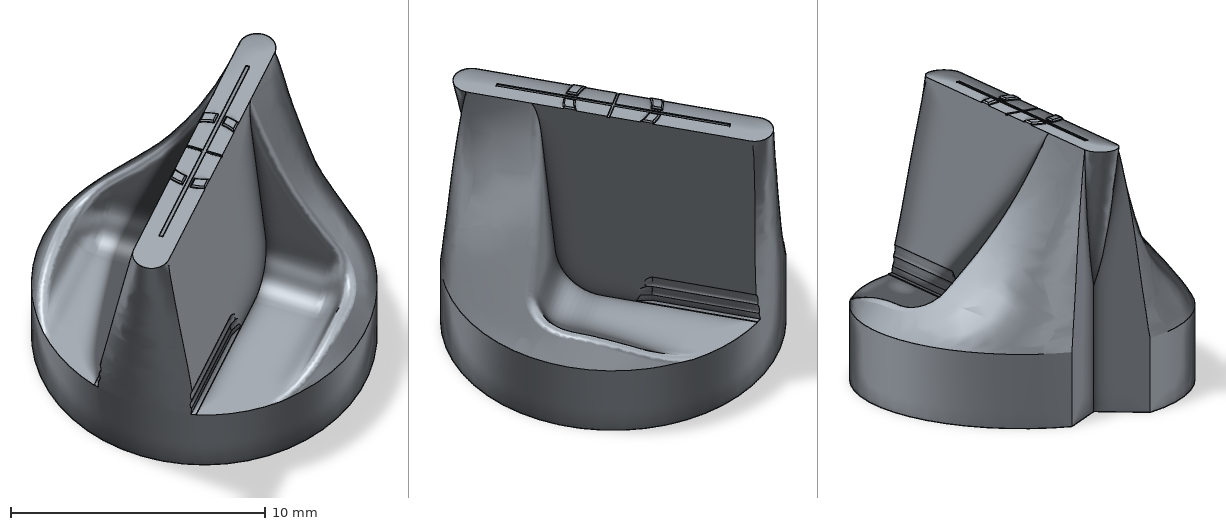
import cadquery as cq
import math


base_radius = 6.8
base_height = 3.05
crest_height = 11.0
crest_half_width = 0.74
crest_half_length = 6.5
grip_stations = [
    (4.15, 5.95, 4.8),
    (5.3, 4.86, 3.5),
    (7.0, 3.26, 2.4),
    (9.0, 1.82, 1.4),
    (10.2, 1.15, 0.97),
]
circle_joint_angle = 60.0

fin_half_width = 2.15
floor_drop = 0.06
pocket_floor = base_height - floor_drop
pocket_half_width = 5.65
pocket_side_fillet = 1.1
pocket_back_y = 1.6
pocket_back_angle = 9.0
pocket_back_fillet = 2.0
rim_fillet = 0.33

recess_half_width = 1.96
recess_step = 0.03
recess_floor = pocket_floor + recess_step
recess_levels = [3.3, 3.73, 4.2]
recess_back_y = -1.5
recess_front_y = -2.1
cove_sag = 0.06

notch_half_width = 1.82
notch_slope = 0.7
nose_lean = 0.21

mark_depth = 0.05
long_mark_half_length = 4.75
long_mark_width = 0.15
cross_mark_width = 0.1
ring_outer_radius = 1.97
ring_inner_radius = 1.5
ring_gap_half_width = 0.16
ring_height = 0.1
ring_chamfer = 0.06

margin = 1.0
reach = base_radius + margin
tool_top = crest_height + margin


def grip_half_length(height):
    rise = (height - base_height) / (crest_height - base_height)
    return base_radius + (crest_half_length - base_radius) * rise


def oval_section(height, half_width, end_radius):
    """Oval of two end arcs and two tangent sides, centred on the knob axis."""
    half_length = grip_half_length(height)
    end_center = half_length - end_radius
    if end_center == 0:
        tilt = math.radians(circle_joint_angle)
        joint_x = end_radius * math.cos(tilt)
        joint_y = end_radius * math.sin(tilt)
    elif half_width == end_radius:
        joint_x = half_width
        joint_y = end_center
    else:
        side_radius = (half_width**2 + end_center**2 - end_radius**2) / (2 * (half_width - end_radius))
        tilt = math.atan2(end_center, side_radius - half_width)
        joint_x = end_radius * math.cos(tilt)
        joint_y = end_center + end_radius * math.sin(tilt)

    outline = cq.Workplane("XY", origin=(0, 0, height)).moveTo(joint_x, -joint_y)
    if half_width == joint_x:
        outline = outline.lineTo(joint_x, joint_y)
    else:
        outline = outline.threePointArc((half_width, 0), (joint_x, joint_y))
    outline = outline.threePointArc((0, half_length), (-joint_x, joint_y))
    if half_width == joint_x:
        outline = outline.lineTo(-joint_x, -joint_y)
    else:
        outline = outline.threePointArc((-half_width, 0), (-joint_x, -joint_y))
    outline = outline.threePointArc((0, -half_length), (joint_x, -joint_y)).close()
    return outline.val()


def make_body():
    stations = [(base_height, base_radius, base_radius)]
    stations += grip_stations
    stations += [(crest_height, crest_half_width, crest_half_width)]
    grip = cq.Workplane(cq.Solid.makeLoft([oval_section(*station) for station in stations]))
    base = cq.Workplane("XY").circle(base_radius).extrude(base_height)
    return base.union(grip)


def make_notch():
    mouth_y = math.sqrt(base_radius**2 - notch_half_width**2)
    apex_y = mouth_y - notch_slope * notch_half_width
    mouth_half_width = (reach - apex_y) / notch_slope
    outline = [(0, apex_y), (mouth_half_width, reach), (-mouth_half_width, reach)]
    return cq.Workplane("XY").polyline(outline).close().extrude(tool_top)


def make_nose():
    drop = crest_height - base_height
    top_y = crest_half_length - crest_half_width
    return (
        cq.Workplane("XY", origin=(0, top_y, crest_height))
        .circle(crest_half_width)
        .workplane(offset=-drop)
        .center(0, -nose_lean * drop)
        .circle(crest_half_width)
        .loft(ruled=True)
    )


def fin_face_x(height):
    rise = (height - pocket_floor) / (crest_height - pocket_floor)
    return fin_half_width + (crest_half_width - fin_half_width) * rise


def make_pocket():
    """Cutting tool for the +X pocket: a filleted block with its inner side on the fin face."""
    tool_height = tool_top - pocket_floor
    back_lean = tool_height * math.tan(math.radians(pocket_back_angle))
    block = (
        cq.Workplane("YZ")
        .polyline([
            (-reach, pocket_floor),
            (pocket_back_y, pocket_floor),
            (pocket_back_y + back_lean, tool_top),
            (-reach, tool_top),
        ])
        .close()
        .extrude(pocket_half_width)
        .edges(cq.selectors.NearestToPointSelector((pocket_half_width / 2, pocket_back_y, pocket_floor)))
        .fillet(pocket_back_fillet)
    )
    block = (
        block.faces(">X").edges("not >Z").edges("not <Y").fillet(pocket_side_fillet)
    )
    fin_top = fin_face_x(tool_top)
    fin = (
        cq.Workplane("XZ", origin=(0, reach, 0))
        .polyline([
            (-fin_half_width, pocket_floor),
            (fin_half_width, pocket_floor),
            (fin_top, tool_top),
            (-fin_top, tool_top),
        ])
        .close()
        .extrude(2 * reach)
    )
    return block.cut(fin)


def both_sides(tool):
    return tool.union(tool.mirror("YZ"))


def recess_profile(y, shift):
    """Straight foot and two stacked coves cut into the fin face, moved outward by shift."""
    low, middle, high = recess_levels
    wall = recess_half_width + shift
    top = fin_face_x(high) + shift
    mouth = wall + margin
    return (
        cq.Workplane("XZ", origin=(0, y, 0))
        .moveTo(mouth, recess_floor)
        .lineTo(wall, recess_floor)
        .lineTo(wall, low)
        .threePointArc((wall - cove_sag, (low + middle) / 2), (wall, middle))
        .threePointArc(((wall + top) / 2 - cove_sag, (middle + high) / 2), (top, high))
        .lineTo(mouth, high)
        .close()
    )


def make_recess():
    """Foot recess of the +X fin face, fading out towards its back end."""
    straight = recess_profile(recess_front_y, 0).extrude(reach)
    front_section = recess_profile(recess_front_y, 0).val()
    back_section = recess_profile(recess_back_y, fin_half_width - recess_half_width).val()
    fade = cq.Workplane(cq.Solid.makeLoft([front_section, back_section], True))
    return straight.union(fade)


def round_rims(part):
    """Round the edges where the pocket walls break out of the grip surface."""
    sliver = 0.01
    near = (crest_half_width + sliver, -crest_half_length + margin, base_height + sliver)
    far = (base_radius, crest_half_length - margin, crest_height - sliver)
    right_rim = cq.selectors.BoxSelector(near, far)
    left_rim = cq.selectors.BoxSelector((-near[0], near[1], near[2]), (-far[0], far[1], far[2]))
    return part.edges(right_rim + left_rim).edges("%BSPLINE").fillet(rim_fillet)


def make_marks():
    depth = 2 * mark_depth
    top = cq.Workplane("XY", origin=(0, 0, crest_height))
    long_mark = top.box(long_mark_width, 2 * long_mark_half_length, depth)
    return long_mark.union(top.box(2 * base_radius, cross_mark_width, depth))


def make_ring_pieces():
    top = cq.Workplane("XY", origin=(0, 0, crest_height))
    ring = top.circle(ring_outer_radius).circle(ring_inner_radius).extrude(ring_height)
    width = crest_half_width - ring_gap_half_width
    center_x = ring_gap_half_width + width / 2
    strips = top.pushPoints([(-center_x, 0), (center_x, 0)]).rect(width, 2 * reach).extrude(ring_height)
    return ring.intersect(strips).faces(">Z").chamfer(ring_chamfer)


result = make_body().cut(both_sides(make_pocket()))
result = round_rims(result)
result = result.cut(make_notch()).union(make_nose())
result = result.cut(both_sides(make_recess()))
result = result.cut(make_marks()).union(make_ring_pieces())